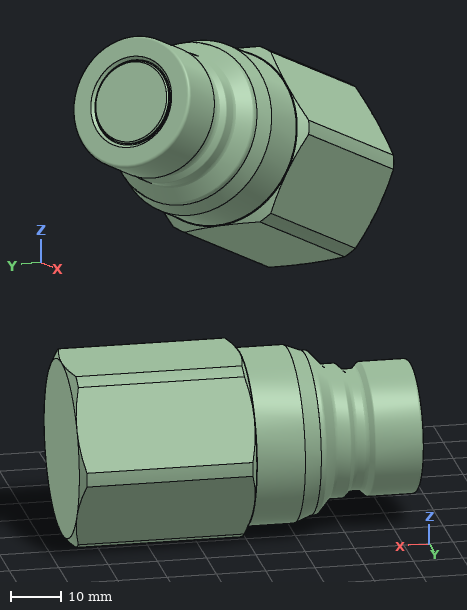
import cadquery as cq
import math

total_length = 70.85
across_flats = 36.0
across_corners = 40.0
hex_length = 36.0
hex_chamfer_angle = 30.0

nose_radius = 13.5
nose_edge_round = 0.65
nose_end = 17.68

groove_radius = 12.2
groove_center = 12.25
groove_mouth_width = 5.0
groove_edge_round = 0.35
groove_flank_angle = 45.0
groove_root_round = 1.0

collar_radius = 16.5
collar_start = 20.4
collar_end = 21.45
body_radius = 17.85
body_start = 24.95
shoulder_foot_round = 0.9
collar_edge_round = 0.65

body_foot_round = 0.14

ring_mouth_radius = 9.3
ring_floor_radius = 8.7
ring_depth = 0.6
disc_radius = 8.45
disc_chamfer = 0.3

hex_start = total_length - hex_length


def revolve_about_x(profile):
    """Close a profile drawn in X and radius and turn it around the X axis."""
    return profile.close().revolve(360, (0, 0, 0), (1, 0, 0))


def edges_at(solid, x, radius, tolerance=0.05):
    """Circular edges centred on the X axis at a given position and radius."""
    low = (x - tolerance, -radius - tolerance, -radius - tolerance)
    high = (x + tolerance, radius + tolerance, radius + tolerance)
    return solid.edges(cq.selectors.BoxSelector(low, high, boundingbox=True))


def make_turned_body():
    profile = (
        cq.Workplane("XZ")
        .lineTo(0, nose_radius)
        .lineTo(nose_end, nose_radius)
        .lineTo(collar_start, collar_radius)
        .lineTo(collar_end, collar_radius)
        .lineTo(body_start, body_radius)
        .lineTo(hex_start, body_radius)
        .lineTo(hex_start, 0)
    )
    body = revolve_about_x(profile)
    body = edges_at(body, 0, nose_radius).fillet(nose_edge_round)
    body = edges_at(body, nose_end, nose_radius).fillet(shoulder_foot_round)
    return edges_at(body, collar_start, collar_radius).fillet(collar_edge_round)


def make_hexagon():
    """Hexagon with turned corners and conical chamfers at both ends."""
    side_count = 6
    sharp_corner_diameter = across_flats / math.cos(math.pi / side_count)
    prism = (
        cq.Workplane("YZ")
        .workplane(offset=hex_start)
        .polygon(side_count, sharp_corner_diameter)
        .extrude(hex_length)
    )
    corner_radius = across_corners / 2
    face_radius = across_flats / 2
    chamfer_length = (corner_radius - face_radius) * math.tan(math.radians(hex_chamfer_angle))
    envelope = revolve_about_x(
        cq.Workplane("XZ")
        .moveTo(hex_start, 0)
        .lineTo(hex_start, face_radius)
        .lineTo(hex_start + chamfer_length, corner_radius)
        .lineTo(total_length - chamfer_length, corner_radius)
        .lineTo(total_length, face_radius)
        .lineTo(total_length, 0)
    )
    return prism.intersect(envelope)


def cut_locking_groove(body):
    half_mouth = groove_mouth_width / 2
    depth = nose_radius - groove_radius
    half_root = half_mouth - depth / math.tan(math.radians(groove_flank_angle))
    cutter = revolve_about_x(
        cq.Workplane("XZ")
        .moveTo(groove_center - half_mouth, nose_radius)
        .lineTo(groove_center - half_root, groove_radius)
        .lineTo(groove_center + half_root, groove_radius)
        .lineTo(groove_center + half_mouth, nose_radius)
    )
    body = body.cut(cutter)
    for side in (-1, 1):
        root = edges_at(body, groove_center + side * half_root, groove_radius)
        body = root.fillet(groove_root_round)
        mouth = edges_at(body, groove_center + side * half_mouth, nose_radius)
        body = mouth.fillet(groove_edge_round)
    return body


def cut_face_ring(body):
    cutter = revolve_about_x(
        cq.Workplane("XZ")
        .moveTo(0, disc_radius - disc_chamfer)
        .lineTo(disc_chamfer, disc_radius)
        .lineTo(ring_depth, disc_radius)
        .lineTo(ring_depth, ring_floor_radius)
        .lineTo(0, ring_mouth_radius)
    )
    return body.cut(cutter)


def round_body_foot(part):
    return edges_at(part, hex_start, body_radius).fillet(body_foot_round)


body = cut_face_ring(cut_locking_groove(make_turned_body()))
result = round_body_foot(body.union(make_hexagon()))